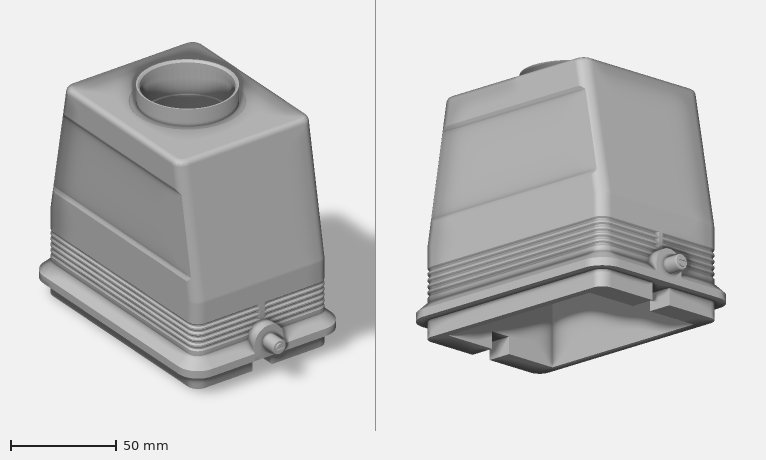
import cadquery as cq
import math

body_length = 120.7
body_width = 78.9
top_height = 118.0
kink_height = 46.8
top_length = 94.7
corner_radius = 5.9
kink_radius = 6.0
top_edge_radius = 2.9

flange_overhang = 5.5
flange_length = body_length + 2 * flange_overhang
flange_width = body_width + 2 * flange_overhang
flange_radius = corner_radius + flange_overhang
flange_bottom = 8.7
flange_edge_height = 4.0
flange_slope_height = 5.1

band_bottom = 56.9
band_top = 103.0
band_depth = 1.0
band_slope_height = 2.3

groove_count = 5
groove_first_center = 21.7
groove_last_center = 34.0
groove_pitch = (groove_last_center - groove_first_center) / (groove_count - 1)
groove_depth = 0.8
groove_mouth = 2.3
groove_root = 0.8
web_face_width = 2.4
web_root_width = 6.6

collar_outer_radius = 24.5
collar_inner_radius = 22.9
collar_top = 127.0
collar_rim_chamfer = 0.9
ledge_height = 109.3
ledge_radius = 21.5
seat_radius = 28.0
seat_depth = 0.3
seat_wall_angle = 45.0

cavity_length = 94.5
cavity_width = 69.8
cavity_top = 102.0
notch_width = 11.5

total_length = 150.5
peg_height = 17.3
lug_radius = 8.5
pin_radius = 3.9
pin_chamfer = 0.5
tip_radius = 2.4
tip_length = 0.9
tip_slot_width = 1.0
tip_slot_depth = 0.6


def rounded_block(length, width, radius, bottom, height):
    """Upright block with rounded corners, centred on the Z axis."""
    block = cq.Workplane("XY", origin=(0, 0, bottom)).rect(length, width).extrude(height)
    return block.edges("|Z").fillet(radius)


def make_body():
    """Solid hood with rounded kinks, corners and top edges."""
    half_length = body_length / 2
    half_top = top_length / 2
    body = (
        cq.Workplane("XZ")
        .polyline([
            (-half_length, 0),
            (half_length, 0),
            (half_length, kink_height),
            (half_top, top_height),
            (-half_top, top_height),
            (-half_length, kink_height),
        ])
        .close()
        .extrude(body_width / 2, both=True)
    )
    kink_zone = cq.selectors.BoxSelector(
        (-body_length, -body_width, kink_height - kink_radius),
        (body_length, body_width, kink_height + kink_radius),
    )
    body = body.edges("|Y").edges(kink_zone).fillet(kink_radius)
    body = body.edges("(not |Y) and (not |X)").edges("<Y or >Y").fillet(corner_radius)
    return body.faces(">Z").edges().fillet(top_edge_radius)


def make_flange():
    """Vertical rim topped by a slope that runs up to the body."""
    rim = rounded_block(flange_length, flange_width, flange_radius, flange_bottom, flange_edge_height)
    slope_angle = math.degrees(math.atan2(flange_overhang, flange_slope_height))
    slope = (
        rim.faces(">Z").wires().toPending()
        .extrude(flange_slope_height, taper=slope_angle, combine=False)
    )
    return rim.union(slope)


def make_side_band():
    """Prism that sinks a band with sloping ends into the front side."""
    face = -body_width / 2
    floor = face + band_depth
    return (
        cq.Workplane("YZ")
        .polyline([
            (face, band_bottom),
            (floor, band_bottom + band_slope_height),
            (floor, band_top - band_slope_height),
            (face, band_top),
        ])
        .close()
        .extrude(body_length / 2, both=True)
    )


def make_groove(center_height):
    """Ring with a trapezoid section, interrupted by a web on each end of the hood."""
    bottom = center_height - groove_mouth / 2
    side_height = (groove_mouth - groove_root) / 2
    side_angle = math.degrees(math.atan2(groove_depth, side_height))

    core = rounded_block(body_length - 2 * groove_depth, body_width - 2 * groove_depth,
                         corner_radius - groove_depth, bottom, groove_mouth)
    lower_edge = rounded_block(body_length, body_width, corner_radius, bottom - side_height, side_height)
    lower_side = (
        lower_edge.faces(">Z").wires().toPending()
        .extrude(side_height, taper=side_angle, combine=False)
    )
    upper_side = lower_side.mirror("XY", (0, 0, center_height))
    ring = rounded_block(flange_length, flange_width, flange_radius, bottom, groove_mouth)
    ring = ring.cut(core).cut(lower_side).cut(upper_side)

    half_length = body_length / 2
    web = (
        cq.Workplane("XY", origin=(0, 0, bottom))
        .polyline([
            (half_length - groove_depth, -web_root_width / 2),
            (half_length, -web_face_width / 2),
            (half_length + flange_overhang, -web_face_width / 2),
            (half_length + flange_overhang, web_face_width / 2),
            (half_length, web_face_width / 2),
            (half_length - groove_depth, web_root_width / 2),
        ])
        .close()
        .extrude(groove_mouth)
    )
    return ring.cut(web).cut(web.mirror("YZ"))


def cylinder(radius, bottom, top):
    """Upright cylinder on the Z axis."""
    return cq.Workplane("XY", origin=(0, 0, bottom)).circle(radius).extrude(top - bottom)


def make_peg():
    """Lug and locking pin on the +X end."""
    lug_face = flange_length / 2
    lug_length = lug_face - cavity_length / 2
    pin_end = total_length / 2 - tip_length

    end_plane = cq.Workplane("YZ", origin=(lug_face, 0, 0))
    lug = end_plane.center(0, peg_height).circle(lug_radius).extrude(-lug_length)
    lug_foot_height = peg_height - flange_bottom
    lug_foot = (
        end_plane.center(0, flange_bottom + lug_foot_height / 2)
        .rect(2 * lug_radius, lug_foot_height)
        .extrude(-lug_length)
    )

    pin = end_plane.center(0, peg_height).circle(pin_radius).extrude(pin_end - lug_face)
    pin = pin.faces(">X").chamfer(pin_chamfer)
    tip = end_plane.center(0, peg_height).circle(tip_radius).extrude(total_length / 2 - lug_face)
    slot = (
        cq.Workplane("XY", origin=(total_length / 2, 0, peg_height))
        .box(2 * tip_slot_depth, 2 * tip_radius, tip_slot_width)
    )
    return lug.union(lug_foot).union(pin.union(tip).cut(slot))


hood = make_body().union(make_flange())

side_band = make_side_band()
hood = hood.cut(side_band).cut(side_band.mirror("XZ"))

for index in range(groove_count):
    hood = hood.cut(make_groove(groove_first_center + index * groove_pitch))

peg = make_peg()
hood = hood.union(peg).union(peg.mirror("YZ"))

top_plane = cq.Workplane("XY", origin=(0, 0, top_height))
hood = hood.cut(top_plane.circle(seat_radius).extrude(-seat_depth, taper=seat_wall_angle))
hood = hood.union(cylinder(collar_outer_radius, ledge_height, collar_top))

hood = hood.cut(cylinder(collar_inner_radius, ledge_height, collar_top))
hood = hood.cut(cylinder(ledge_radius, cavity_top, ledge_height))
inner_rim = cq.selectors.RadiusNthSelector(0)
hood = hood.faces(">Z").edges(inner_rim).chamfer(collar_rim_chamfer)

cavity = cq.Workplane("XY").rect(cavity_length, cavity_width).extrude(cavity_top)
notch = cq.Workplane("XY").rect(body_length, notch_width).extrude(flange_bottom)
result = hood.cut(cavity).cut(notch)